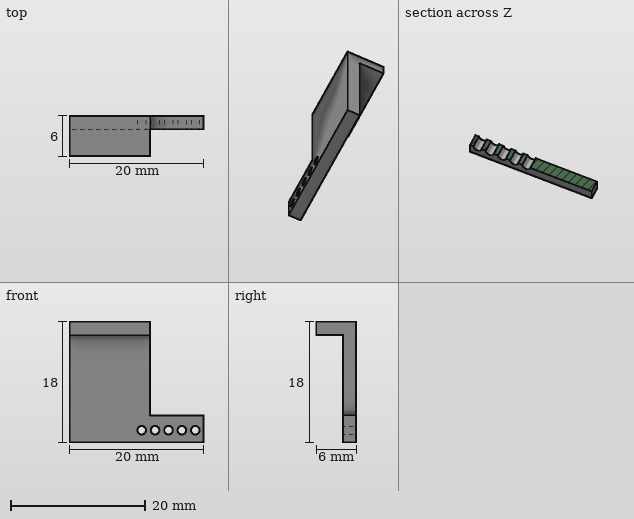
import cadquery as cq

total_length = 20.0
total_depth = 6.0
total_height = 18.0
thickness = 2.0

panel_width = 12.0
arm_height = 4.0

hole_count = 5
hole_diameter = 1.25
hole_pitch = 2.0
last_hole_to_end = 1.25
hole_height = 1.8

back_y = total_depth
plate_front_y = back_y - thickness


def corner_box(x_size, y_size, z_size, corner):
    """Box whose minimum corner sits at the given point."""
    return cq.Workplane("XY").box(x_size, y_size, z_size, centered=False).translate(corner)


def make_plate():
    """L-shaped plate: tall panel with a low arm at its foot."""
    panel = corner_box(panel_width, thickness, total_height, (0, plate_front_y, 0))
    arm = corner_box(total_length, thickness, arm_height, (0, plate_front_y, 0))
    return panel.union(arm)


def make_flange():
    """Lip along the top of the panel, reaching forward to the full depth."""
    return corner_box(panel_width, total_depth, thickness, (0, 0, total_height - thickness))


def make_holes():
    """Evenly spaced cylinders through the plate, counted back from the arm's end."""
    last_hole_x = total_length - last_hole_to_end
    centers = [(last_hole_x - i * hole_pitch, hole_height) for i in range(hole_count)]
    return (
        cq.Workplane("XZ", origin=(0, back_y, 0))
        .pushPoints(centers)
        .circle(hole_diameter / 2)
        .extrude(thickness)
    )


result = make_plate().union(make_flange()).cut(make_holes())